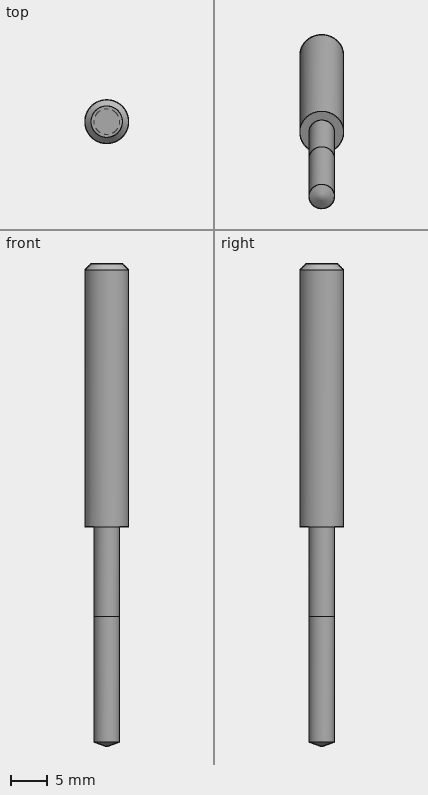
import cadquery as cq
import math

total_length = 66.0
shank_diameter = 6.0
shank_length = 36.0
chamfer_width = 0.85
chamfer_height = 0.85

drill_diameter = 3.5
cutting_length = 17.8
point_angle = 140.0

drill_radius = drill_diameter / 2
shank_radius = shank_diameter / 2
point_height = drill_radius / math.tan(math.radians(point_angle / 2))
shank_bottom = total_length - shank_length


def make_shank():
    """Chamfered shank and slim neck, turned as one solid about Z."""
    profile = (
        cq.Workplane("XZ")
        .moveTo(0, cutting_length)
        .lineTo(drill_radius, cutting_length)
        .lineTo(drill_radius, shank_bottom)
        .lineTo(shank_radius, shank_bottom)
        .lineTo(shank_radius, total_length - chamfer_height)
        .lineTo(shank_radius - chamfer_width, total_length)
        .lineTo(0, total_length)
        .close()
    )
    return profile.revolve(360, (0, 0, 0), (0, 1, 0))


def make_cutting_section():
    """Cylindrical cutting section with a conical point at Z = 0."""
    profile = (
        cq.Workplane("XZ")
        .lineTo(drill_radius, point_height)
        .lineTo(drill_radius, cutting_length)
        .lineTo(0, cutting_length)
        .close()
    )
    return profile.revolve(360, (0, 0, 0), (0, 1, 0))


shank = make_shank()
cutting_section = make_cutting_section()
result = cq.Compound.makeCompound([shank.val(), cutting_section.val()])